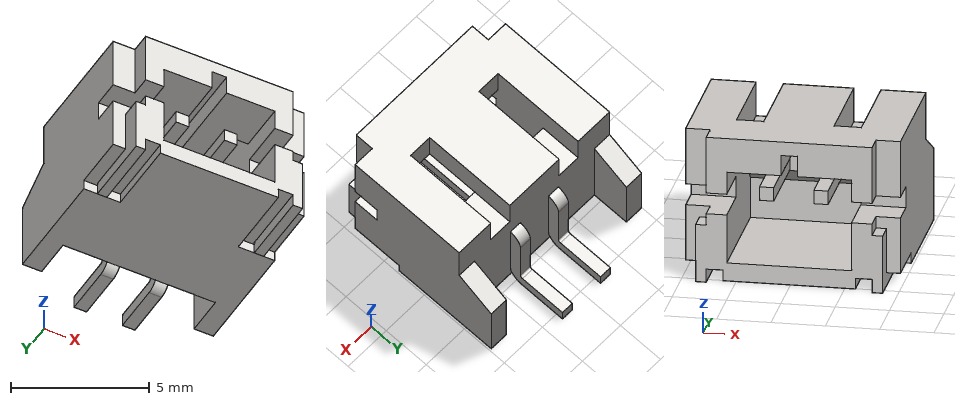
import cadquery as cq
import math


housing_width = 7.9
housing_depth = 6.0
housing_height = 5.5
nose_width = 6.1
nose_depth = 0.8

arm_width = 0.8
arm_length = 1.6
arm_end_height = 2.78
arm_slope_top = 3.7

cavity_width = 4.59
cavity_floor = 0.7
cavity_roof = 4.2
rear_wall = 1.75
undercut_bottom = 2.25
undercut_top = 2.82
undercut_angle = 45.0
key_width = 0.6
key_roof = 4.98

roof_slot_width = 1.0
roof_slot_length = 4.0
side_notch_depth = 1.9
side_notch_bottom = 2.55
side_notch_top = 3.35

standoff = 0.1
tab_thickness = 0.39
tab_height = 2.11
foot_length = 2.91
pocket_width = 1.51
pocket_length = 3.0
pocket_height = 0.41

pin_pitch = 2.0
pin_size = 0.52
pin_tip_y = 0.95
pin_top = 3.36
pin_drop = 0.5
pin_tail = 2.6
bend_inner_radius = 0.1
bend_outer_radius = bend_inner_radius + pin_size


def box(x0, x1, y0, y1, z0, z1):
    """Axis-aligned block between two opposite corners."""
    return cq.Workplane("XY").box(x1 - x0, y1 - y0, z1 - z0, centered=False).translate((x0, y0, z0))


def centred_box(width, y0, y1, z0, z1):
    """Block spread evenly about the mid-width plane."""
    return box(-width / 2, width / 2, y0, y1, z0, z1)


def both_sides(left):
    """The given left-hand shape together with its mirror image."""
    return left.union(left.mirror("YZ"))


def side_profile(points, x0, width):
    """Closed Y-Z outline extruded along +X from x0."""
    return cq.Workplane("YZ").workplane(offset=x0).polyline(points).close().extrude(width)


def make_shell():
    """Main block, narrower nose at the front and sloped arms at the rear."""
    main = centred_box(housing_width, nose_depth, housing_depth, 0, housing_height)
    nose = centred_box(nose_width, 0, nose_depth, 0, housing_height)
    arm_outline = [
        (nose_depth, 0),
        (housing_depth + arm_length, 0),
        (housing_depth + arm_length, arm_end_height),
        (housing_depth, arm_slope_top),
        (nose_depth, arm_slope_top),
    ]
    arm = side_profile(arm_outline, -housing_width / 2, arm_width)
    return main.union(nose).union(both_sides(arm))


def make_cavity():
    """Mating cavity with its keyway and the undercut low in the rear wall."""
    back = housing_depth - rear_wall
    run = (undercut_top - undercut_bottom) / math.tan(math.radians(undercut_angle))
    outline = [
        (0, cavity_floor),
        (back + run, cavity_floor),
        (back + run, undercut_bottom),
        (back, undercut_top),
        (back, cavity_roof),
        (0, cavity_roof),
    ]
    cavity = side_profile(outline, -cavity_width / 2, cavity_width)
    keyway = centred_box(key_width, 0, back, cavity_floor, key_roof)
    return cavity.union(keyway)


def make_roof_slots():
    """Slots open to the rear, reaching down to the level of the cavity roof."""
    outer = -cavity_width / 2
    front = housing_depth - roof_slot_length
    slot = box(outer, outer + roof_slot_width, front, housing_depth, cavity_roof, housing_height)
    return both_sides(slot)


def make_side_notches():
    """Openings through both side walls at the front."""
    return centred_box(housing_width, 0, side_notch_depth, side_notch_bottom, side_notch_top)


def make_tab_pockets():
    """Shallow pockets under the front corners."""
    outer = -housing_width / 2
    return both_sides(box(outer, outer + pocket_width, 0, pocket_length, 0, pocket_height))


def make_tabs():
    """L-shaped solder tabs against the sides of the nose."""
    inner = -nose_width / 2
    outer = inner - tab_thickness
    upright = box(outer, inner, 0, nose_depth, -standoff, tab_height)
    foot = box(outer, inner, 0, foot_length, -standoff, pocket_height)
    return both_sides(upright.union(foot))


def make_pins():
    """Square pins: straight contact, bent down behind the housing, bent back into a solder tail."""
    back = housing_depth + pin_drop
    front = back - pin_size
    pin_bottom = pin_top - pin_size
    tail_top = pin_size - standoff
    tail_end = housing_depth + pin_tail
    upper_y = back - bend_outer_radius
    upper_z = pin_top - bend_outer_radius
    lower_y = back + bend_inner_radius
    lower_z = tail_top + bend_inner_radius
    inner = bend_inner_radius * math.sqrt(0.5)
    outer = bend_outer_radius * math.sqrt(0.5)
    pin = (
        cq.Workplane("YZ")
        .moveTo(pin_tip_y, pin_top)
        .lineTo(upper_y, pin_top)
        .threePointArc((upper_y + outer, upper_z + outer), (back, upper_z))
        .lineTo(back, lower_z)
        .threePointArc((lower_y - inner, lower_z - inner), (lower_y, tail_top))
        .lineTo(tail_end, tail_top)
        .lineTo(tail_end, -standoff)
        .lineTo(lower_y, -standoff)
        .threePointArc((lower_y - outer, lower_z - outer), (front, lower_z))
        .lineTo(front, upper_z)
        .threePointArc((upper_y + inner, upper_z + inner), (upper_y, pin_bottom))
        .lineTo(pin_tip_y, pin_bottom)
        .close()
        .extrude(pin_size / 2, both=True)
    )
    return both_sides(pin.translate((-pin_pitch / 2, 0, 0)))


housing = make_shell()
for opening in (make_cavity(), make_roof_slots(), make_side_notches(), make_tab_pockets()):
    housing = housing.cut(opening)

result = housing.union(make_tabs()).union(make_pins())